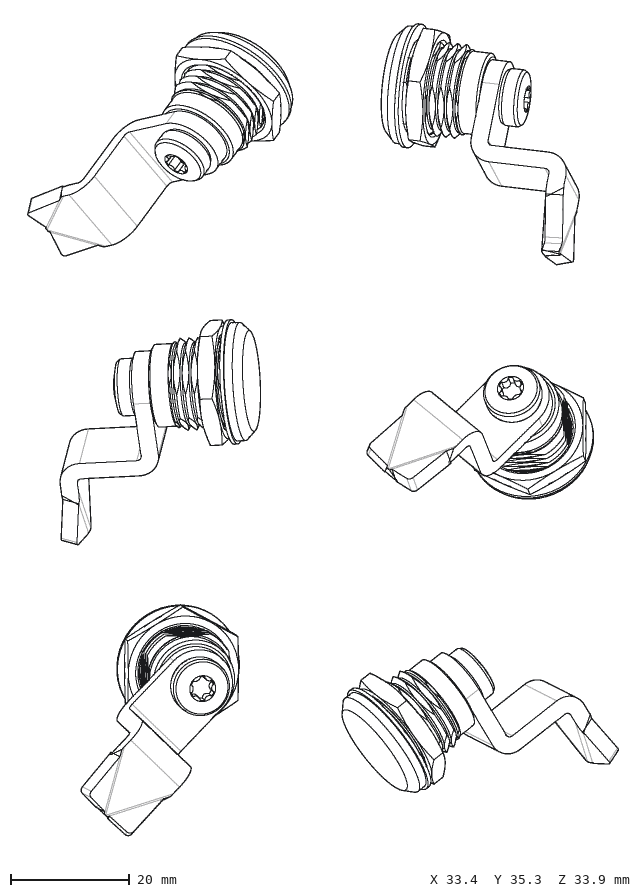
import cadquery as cq
import math


head_diameter = 20.0
head_chamfer = 1.5
head_height = 2.9
barrel_diameter = 14.0
barrel_end_chamfer_length = 0.35
barrel_end_chamfer_depth = 0.55
flats_width = 14.02
collar_length = 0.42

thread_diameter = 16.0
thread_pitch = 1.52
tooth_base = 1.15
tooth_count = 5
runout_diameter = 14.55
runout_crest_gap = 0.32
runout_base = 0.3

seal_diameter = 21.0
seal_thickness = 0.65
seal_y = 12.95

nut_flats = 19.0
nut_height = 3.0
nut_y = 8.95
nut_bore = 14.9
nut_bore_chamfer_diameter = 16.45
nut_corner_chamfer = 0.5

cam_width = 11.9
cam_thickness = 2.95
cam_inner_bend = 0.85
cam_leg_s = 10.95
cam_depth = 17.45
cam_angle = 135
foot_end_s = 26.85
fold_heel_s = 16.3
wing_angle = 20
stretch_depth = 0.7
wing_corner_radius = 0.78

screw_head_diameter = 9.67
screw_head_bulge = 0.05
screw_neck_diameter = 9.1
screw_side_start = 0.55
screw_side_end = 2.7
screw_shoulder_height = 3.2
screw_shoulder_diameter = 8.97
screw_head_height = 3.78
socket_mouth_diameter = 4.45
socket_diameter = 4.1
socket_lobes = 6
socket_waist_diameter = 3.18
socket_flute_radius = 0.85
socket_depth = 2.12
socket_mouth_depth = 0.18
socket_tip_depth = 0.7
shank_diameter = 5.0
shank_length = 8.47

seal_top_y = seal_y + seal_thickness
head_top_y = seal_top_y + head_height
first_crest_y = seal_y - collar_length
cam_outer_bend = cam_inner_bend + cam_thickness
cam_half_width = cam_width / 2


def revolve_about_lock_axis(profile):
    """Turn an XY profile, with X as the radius, about the Y axis."""
    return profile.close().revolve(360, (0, 0, 0), (0, 1, 0))


def cylinder(diameter, y_start, y_end):
    """Round bar on the lock axis between two heights."""
    return cq.Workplane("XZ", origin=(0, y_end, 0)).circle(diameter / 2).extrude(y_end - y_start)


def threaded_barrel():
    """Full-round barrel with its end chamfer, thread ridges and neck, up to the head."""
    root = barrel_diameter / 2
    crest = thread_diameter / 2
    points = [
        (0, 0),
        (root - barrel_end_chamfer_depth, 0),
        (root, barrel_end_chamfer_length),
    ]

    runout_y = first_crest_y - (tooth_count + 1) * thread_pitch + runout_crest_gap
    points += [
        (root, runout_y - runout_base),
        (runout_diameter / 2, runout_y),
        (root, runout_y + runout_base),
    ]

    for tooth in range(tooth_count, 0, -1):
        crest_y = first_crest_y - tooth * thread_pitch
        points += [
            (root, crest_y - tooth_base / 2),
            (crest, crest_y),
            (root, crest_y + tooth_base / 2),
        ]

    points += [
        (root, first_crest_y - tooth_base / 2),
        (crest, first_crest_y),
        (crest, seal_top_y),
        (0, seal_top_y),
    ]
    return revolve_about_lock_axis(cq.Workplane("XY").polyline(points))


def make_housing():
    """Chamfered round head on a threaded barrel with four flats and a hole for the screw."""
    flats = cq.Workplane("XY").box(flats_width, 3 * head_top_y, flats_width)
    barrel = threaded_barrel().intersect(flats)
    head = cylinder(head_diameter, seal_top_y, head_top_y).faces(">Y").chamfer(head_chamfer)
    screw_hole = cylinder(shank_diameter, 0, shank_length - cam_thickness)
    return barrel.union(head).cut(screw_hole)


def make_seal():
    """Flat ring clamped under the head."""
    bore = cylinder(thread_diameter, seal_y, seal_top_y)
    return cylinder(seal_diameter, seal_y, seal_top_y).cut(bore)


def make_nut():
    """Hexagon nut, chamfered on both sides, with a thread that matches the barrel."""
    corner = nut_flats / 2 / math.cos(math.pi / 6)
    nut_top_y = nut_y + nut_height
    hexagon = (
        cq.Workplane("XZ", origin=(0, nut_top_y, 0))
        .transformed(rotate=(0, 0, 90))
        .polygon(6, 2 * corner)
        .extrude(nut_height)
    )
    turned_blank = revolve_about_lock_axis(
        cq.Workplane("XY").polyline([
            (0, nut_y),
            (nut_flats / 2, nut_y),
            (corner, nut_y + nut_corner_chamfer),
            (corner, nut_top_y - nut_corner_chamfer),
            (nut_flats / 2, nut_top_y),
            (0, nut_top_y),
        ])
    )
    bore_chamfer = (nut_bore_chamfer_diameter - nut_bore) / 2
    bore = revolve_about_lock_axis(
        cq.Workplane("XY").polyline([
            (0, nut_y),
            (nut_bore_chamfer_diameter / 2, nut_y),
            (nut_bore / 2, nut_y + bore_chamfer),
            (nut_bore / 2, nut_top_y - bore_chamfer),
            (nut_bore_chamfer_diameter / 2, nut_top_y),
            (0, nut_top_y),
        ])
    )
    return hexagon.intersect(turned_blank).cut(bore).cut(threaded_barrel())


def cam_strip():
    """Z-bent strip: seat plate, leg and flat foot, with the arm along +X before it is swung."""
    leg_outer_s = cam_leg_s + cam_thickness
    section = (
        cq.Workplane("XY")
        .polyline([
            (0, 0),
            (leg_outer_s, 0),
            (leg_outer_s, cam_thickness - cam_depth),
            (foot_end_s, cam_thickness - cam_depth),
            (foot_end_s, -cam_depth),
            (cam_leg_s, -cam_depth),
            (cam_leg_s, -cam_thickness),
            (0, -cam_thickness),
        ])
        .close()
        .extrude(cam_half_width, both=True)
    )

    def bend_edge(s, y):
        return cq.selectors.NearestToPointSelector((s, y, 0))

    for s, y, radius in [
        (leg_outer_s, 0, cam_outer_bend),
        (cam_leg_s, -cam_thickness, cam_inner_bend),
        (leg_outer_s, cam_thickness - cam_depth, cam_inner_bend),
        (cam_leg_s, -cam_depth, cam_outer_bend),
    ]:
        section = section.edges("|Z").edges(bend_edge(s, y)).fillet(radius)

    foot_outline = (
        cq.Workplane("XZ", origin=(0, head_top_y, 0))
        .moveTo(0, -cam_half_width)
        .lineTo(fold_heel_s, -cam_half_width)
        .lineTo(foot_end_s, 0)
        .lineTo(fold_heel_s, cam_half_width)
        .lineTo(0, cam_half_width)
        .close()
        .extrude(3 * head_top_y)
    )
    seat_end = cylinder(cam_width, -cam_thickness, 0)
    return section.intersect(foot_outline).union(seat_end)


def cam_wing():
    """One corner of the foot, folded away from the seat along a slanting line.

    It is shaped with u along the fold, v outward across it and the foot's outer face at
    height 0, then placed with u running from the tip of the foot to the heel of the fold.
    """
    fold_run = foot_end_s - fold_heel_s
    fold_length = math.hypot(fold_run, cam_half_width)
    corner_u = cam_half_width * cam_half_width / fold_length
    corner_v = cam_half_width * fold_run / fold_length
    bend = math.radians(wing_angle)

    bend_allowance = bend * (cam_inner_bend + stretch_depth * cam_thickness)
    trim = bend_allowance / corner_v
    wing = (
        cq.Workplane("XY")
        .moveTo(corner_u * trim, 0)
        .lineTo(corner_u, corner_v - bend_allowance)
        .lineTo(fold_length - (fold_length - corner_u) * trim, 0)
        .close()
        .extrude(cam_thickness)
        .edges("|Z and >Y")
        .fillet(wing_corner_radius)
        .rotate((0, 0, -cam_inner_bend), (1, 0, -cam_inner_bend), -wing_angle)
    )

    def bend_point(radius, angle):
        return (radius * math.sin(angle), radius * math.cos(angle) - cam_inner_bend)

    bend_sector = (
        cq.Workplane("YZ")
        .moveTo(*bend_point(cam_inner_bend, 0))
        .lineTo(*bend_point(cam_outer_bend, 0))
        .threePointArc(bend_point(cam_outer_bend, bend / 2), bend_point(cam_outer_bend, bend))
        .lineTo(*bend_point(cam_inner_bend, bend))
        .threePointArc(bend_point(cam_inner_bend, bend / 2), bend_point(cam_inner_bend, 0))
        .close()
        .extrude(fold_length)
    )

    fold_plane = cq.Plane(
        origin=(foot_end_s, -cam_depth, 0),
        xDir=(-fold_run, 0, cam_half_width),
        normal=(0, 1, 0),
    )
    fold_place = cq.Location(fold_plane)
    foot_limits = cq.Workplane("XY").box(
        foot_end_s, 3 * cam_depth, cam_width, centered=(False, True, True)
    )
    placed_sector = bend_sector.val().moved(fold_place)
    sector_in_foot = cq.Workplane("XY").newObject([placed_sector]).intersect(foot_limits)
    return sector_in_foot.union(cq.Workplane("XY").newObject([wing.val().moved(fold_place)]))


def make_cam():
    """Bent cam with two folded wings on its foot and a hole for the screw."""
    wing = cam_wing()
    cam = cam_strip().union(wing).union(wing.mirror("XY"))
    cam = cam.cut(cylinder(shank_diameter, -cam_thickness, 0))
    return cam.rotate((0, 0, 0), (0, 1, 0), cam_angle)


def screw_socket():
    """Six-lobed socket with a round mouth and a conical bottom, entered from -Y."""
    mouth_y = -cam_thickness - screw_head_height
    mouth_end_y = mouth_y + socket_mouth_depth
    floor_y = mouth_y + socket_depth
    drilled_hole = revolve_about_lock_axis(
        cq.Workplane("XY").polyline([
            (0, mouth_y),
            (socket_diameter / 2, mouth_y),
            (socket_diameter / 2, floor_y),
            (0, floor_y + socket_tip_depth),
        ])
    )
    flute_centre = socket_waist_diameter / 2 + socket_flute_radius
    flutes = (
        cq.Workplane("XZ", origin=(0, floor_y + socket_tip_depth, 0))
        .polarArray(flute_centre, 0, 360, socket_lobes)
        .circle(socket_flute_radius)
        .extrude(socket_depth + socket_tip_depth)
    )
    mouth = revolve_about_lock_axis(
        cq.Workplane("XY").polyline([
            (0, mouth_y),
            (socket_mouth_diameter / 2, mouth_y),
            (socket_waist_diameter / 2, mouth_end_y),
            (0, mouth_end_y),
        ])
    )
    return drilled_hole.cut(flutes).union(mouth)


def make_screw():
    """Domed screw that holds the cam on the barrel."""
    bearing_y = -cam_thickness
    side_radius = screw_head_diameter / 2
    shoulder_radius = screw_shoulder_diameter / 2
    mouth_radius = socket_mouth_diameter / 2
    side_start_y = bearing_y - screw_side_start
    side_end_y = bearing_y - screw_side_end
    shoulder_y = bearing_y - screw_shoulder_height
    top_y = bearing_y - screw_head_height
    head = revolve_about_lock_axis(
        cq.Workplane("XY")
        .moveTo(0, bearing_y)
        .lineTo(screw_neck_diameter / 2, bearing_y)
        .lineTo(side_radius, side_start_y)
        .threePointArc(
            (side_radius + screw_head_bulge, (side_start_y + side_end_y) / 2),
            (side_radius, side_end_y),
        )
        .lineTo(shoulder_radius, shoulder_y)
        .lineTo(mouth_radius, top_y)
        .lineTo(0, top_y)
    )
    shank = cylinder(shank_diameter, bearing_y, bearing_y + shank_length)
    return head.union(shank).cut(screw_socket())


housing = make_housing()
seal = make_seal()
nut = make_nut()
cam = make_cam()
screw = make_screw()

result = cq.Compound.makeCompound([
    housing.solids().val(),
    seal.solids().val(),
    nut.solids().val(),
    cam.solids().val(),
    screw.solids().val(),
])